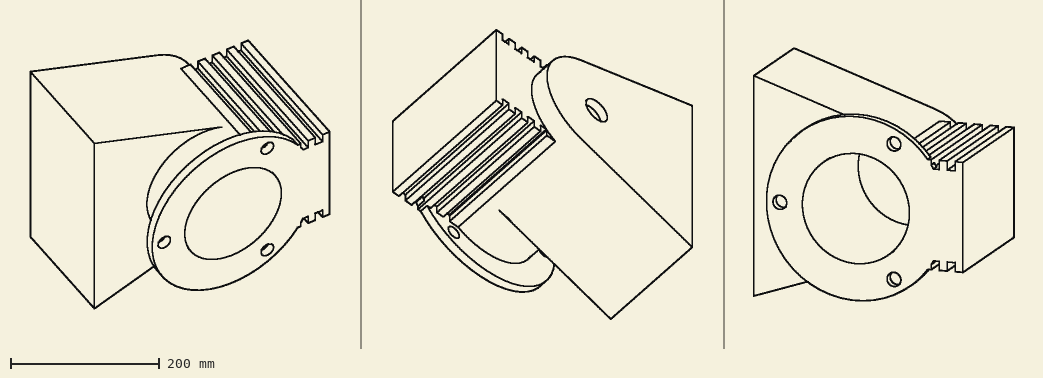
import cadquery as cq
import math

total_length = 241.3
hub_radius = 89.0
bore_radius = 19.0
wall_thickness = 13.0

foot_width = 165.2
foot_height = 304.7
foot_reach = 171.5

flange_radius = 127.3
flange_thickness = 13.0
bolt_circle_radius = 108.2
bolt_hole_radius = 9.7
bolt_count = 3
first_bolt_angle = 60

fin_reach = 324.0 - foot_reach
fin_start = 31.5
fin_block_height = 152.2
fin_width = 11.3
fin_pitch = 2 * fin_width
fin_depth = 12.5
groove_count = 4


def cylinder(radius, start, length):
    return cq.Workplane("YZ").workplane(offset=start).circle(radius).extrude(length)


def tapered_foot():
    """Triangle-like foot whose sloping sides are tangent to the hub."""
    half_height = foot_height / 2
    corner_distance = math.hypot(foot_reach, half_height)
    corner_angle = math.atan2(half_height, foot_reach)
    tangent_angle = corner_angle + math.acos(hub_radius / corner_distance)
    tangent_y = -hub_radius * math.cos(tangent_angle)
    tangent_z = hub_radius * math.sin(tangent_angle)
    return (
        cq.Workplane("YZ")
        .moveTo(-foot_reach, -half_height)
        .lineTo(tangent_y, -tangent_z)
        .threePointArc((hub_radius, 0), (tangent_y, tangent_z))
        .lineTo(-foot_reach, half_height)
        .close()
        .extrude(foot_width)
    )


def finned_block():
    """Block from the bore axis outwards, grooved lengthwise on top and bottom."""
    fin_length = total_length - fin_start
    block = cq.Workplane("XY").box(
        fin_length, fin_reach, fin_block_height, centered=(False, False, True)
    ).translate((fin_start, 0, 0))
    floor_height = fin_block_height / 2 - fin_depth
    for index in range(groove_count):
        groove_y = fin_reach - 2 * fin_width - index * fin_pitch
        for groove_z in (floor_height, -floor_height - fin_depth):
            groove = cq.Workplane("XY").box(fin_length, fin_width, fin_depth, centered=False)
            block = block.cut(groove.translate((fin_start, groove_y, groove_z)))
    return block


def flange():
    disc = cylinder(flange_radius, total_length - flange_thickness, flange_thickness)
    bolt_holes = (
        cq.Workplane("YZ")
        .workplane(offset=total_length - flange_thickness)
        .polarArray(bolt_circle_radius, first_bolt_angle, 360, bolt_count)
        .circle(bolt_hole_radius)
        .extrude(flange_thickness)
    )
    return disc.cut(bolt_holes)


hub = cylinder(hub_radius, 0, total_length)
bore = cylinder(bore_radius, 0, total_length)
cavity = cylinder(hub_radius - wall_thickness, wall_thickness, total_length - wall_thickness)
result = hub.union(tapered_foot()).union(finned_block()).union(flange()).cut(bore).cut(cavity)